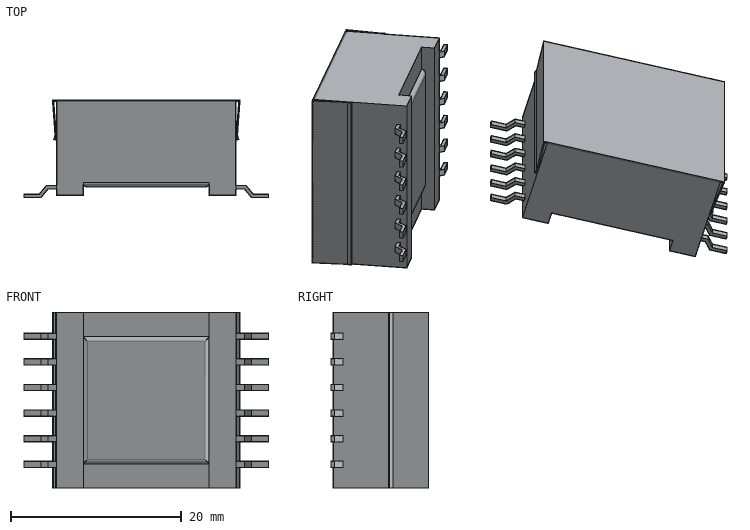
import cadquery as cq


lead_span = 28.65
overall_height = 11.43
length = 20.57

core_width = 21.0
core_bottom = 0.25
channel_width = 14.73
channel_floor = 1.78

coil_width = 14.88
coil_length = 14.96
coil_bottom = 1.24
coil_round = channel_floor - coil_bottom

sheet = 0.16
clip_width = 21.98
leg_drop = 4.15
leg_lean = 0.3
lip_drop = 0.45
lip_flare = 0.15
lip_end_width = 0.19
lip_end_slant = 0.08

leads_per_side = 6
lead_pitch = 3.0
lead_width = 0.74
lead_thickness = 0.42
shoulder_rise = 1.0
foot_length = 2.0
bend_run = 0.82
bend_shift = 0.2
lead_embed = 0.5


def extrude_centred(points, depth):
    """Extrude a closed XY outline by depth, centred on Z = 0."""
    return cq.Workplane("XY").polyline(points).close().extrude(depth / 2, both=True)


def box_between(width, y_low, y_high, depth):
    """Box centred on X and Z that spans the given heights."""
    height = y_high - y_low
    return cq.Workplane("XY").box(width, height, depth).translate((0, y_low + height / 2, 0))


def make_core():
    block = box_between(core_width, core_bottom, overall_height - sheet, length)
    channel = box_between(channel_width, core_bottom, channel_floor, length)
    return block.cut(channel)


def make_coil():
    """Coil block with rounded lower edges; its sides run slightly into the channel walls."""
    coil_top = channel_floor + coil_round
    coil = box_between(coil_width, coil_bottom, coil_top, coil_length)
    return coil.faces("<Y").edges().fillet(coil_round)


def make_clip():
    """One folded sheet: a flat top and two legs that lean inward and flare out at their lips."""
    underside_y = overall_height - sheet
    bend_y = overall_height - leg_drop
    lip_y = bend_y - lip_drop
    top_x = clip_width / 2
    bend_x = top_x - leg_lean
    lip_x = bend_x + lip_flare
    right_half = [
        (top_x, overall_height),
        (bend_x, bend_y),
        (lip_x, lip_y),
        (lip_x - lip_end_width, lip_y - lip_end_slant),
        (bend_x - sheet, bend_y),
        (top_x - sheet, underside_y),
    ]
    left_half = [(-x, y) for x, y in reversed(right_half)]
    return extrude_centred(right_half + left_half, length)


def make_lead():
    """Lead on the +X side, centred on Z = 0."""
    tip_x = lead_span / 2
    foot_x = tip_x - foot_length
    shoulder_x = foot_x - bend_run
    root_x = core_width / 2 - lead_embed
    outline = [
        (tip_x, 0),
        (foot_x, 0),
        (shoulder_x, shoulder_rise),
        (root_x, shoulder_rise),
        (root_x, shoulder_rise + lead_thickness),
        (shoulder_x + bend_shift, shoulder_rise + lead_thickness),
        (foot_x + bend_shift, lead_thickness),
        (tip_x, lead_thickness),
    ]
    return extrude_centred(outline, lead_width)


def add_mirrored(body, feature):
    """Join a +X side feature and its -X mirror image to the body."""
    return body.union(feature).union(feature.mirror("YZ"))


result = make_core().union(make_coil())

lead = make_lead()
first_lead_z = -lead_pitch * (leads_per_side - 1) / 2
for index in range(leads_per_side):
    result = add_mirrored(result, lead.translate((0, 0, first_lead_z + index * lead_pitch)))

result = result.union(make_clip(), clean=False)